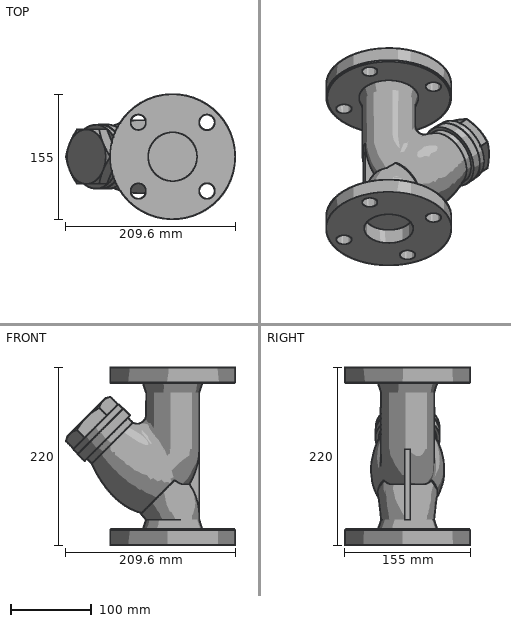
import cadquery as cq
import math

height = 220.0

flange_diameter = 155.0
flange_thickness = 20.0
flange_chamfer = 1.5
bolt_circle_diameter = 120.1
bolt_hole_diameter = 19.0
bolt_count = 4
port_diameter = 60.5
port_depth = flange_thickness

pipe_radius = 33.0
neck_radius = 36.7
neck_length = 11.5

branch_angle = 45.0
upper_elbow_z = 118.8
upper_elbow_radius = 51.7
lower_elbow_z = 37.0
lower_elbow_radius = 35.2

chamber_max_radius = 45.5
chamber_max_position = 59.5
chamber_shoulder_radius = 40.0
chamber_shoulder_position = 27.5
toe_radius = 37.0
toe_position = 18.7
throat_diameter = 72.0
throat_position = 105.5
saddle_fillet = 11.0
crease_box_low = (-55.0, -35.2, 88.0)
crease_box_high = (0.0, 35.2, 158.5)

collar_diameter = 80.0
collar_start = 114.2
collar_end = 134.5
gasket_position = 126.3
gasket_groove = 0.5
hex_across_flats = 67.3
hex_sides = 6
hex_end = 151.0
hex_chamfer_angle = 30.0

web_thickness = 6.5

angle = math.radians(branch_angle)
elbow_end_x = -lower_elbow_radius * (1 - math.cos(angle))
elbow_end_z = lower_elbow_z + lower_elbow_radius * math.sin(angle)
axis_z = elbow_end_z + elbow_end_x / math.tan(angle)
chamber_start = -elbow_end_x / math.sin(angle)
branch_direction = (-math.sin(angle), 0, math.cos(angle))


def branch_plane(position):
    """Plane across the chamber axis at a distance from the pipe axis."""
    origin = (-position * math.sin(angle), 0, axis_z + position * math.cos(angle))
    return cq.Plane(origin=origin, xDir=(0, 1, 0), normal=branch_direction)


def cylinder_on_branch(start, end, diameter):
    return cq.Workplane(branch_plane(start)).circle(diameter / 2).extrude(end - start)


def flanged_neck():
    """Bottom flange with its conical neck, without holes."""
    flange = cq.Workplane("XY").circle(flange_diameter / 2).extrude(flange_thickness)
    flange = flange.faces(">Z").edges().chamfer(flange_chamfer)
    neck = (
        cq.Workplane("XY", origin=(0, 0, flange_thickness))
        .circle(neck_radius)
        .workplane(offset=neck_length)
        .circle(pipe_radius)
        .loft()
    )
    return flange.union(neck)


def pipe(start_z, end_z):
    return cq.Workplane("XY", origin=(0, 0, start_z)).circle(pipe_radius).extrude(end_z - start_z)


def elbow(start_z, bend_radius, turn):
    """Bend through the branch angle towards -X; turn is +1 going up and -1 going down."""
    return (
        cq.Workplane("XY", origin=(0, 0, start_z))
        .circle(pipe_radius)
        .revolve(branch_angle, (-bend_radius, 0, 0), (-bend_radius, -turn, 0))
    )


def chamber():
    """Bulged body of revolution about the slanted axis."""
    profile_plane = cq.Plane(
        origin=(0, 0, axis_z),
        xDir=(-math.cos(angle), 0, -math.sin(angle)),
        normal=(0, 1, 0),
    )
    return (
        cq.Workplane(profile_plane)
        .moveTo(0, chamber_start)
        .lineTo(pipe_radius, chamber_start)
        .spline(
            [
                (chamber_shoulder_radius, chamber_shoulder_position),
                (chamber_max_radius, chamber_max_position),
                (throat_diameter / 2, throat_position),
            ],
            includeCurrent=True,
        )
        .lineTo(0, throat_position)
        .close()
        .revolve(360, (0, 0, 0), (0, 1, 0))
    )


def chamber_toe():
    """Skin from the top of the bottom neck to the chamber, filling the lower crease."""
    base = cq.Wire.makeCircle(
        pipe_radius, cq.Vector(0, 0, flange_thickness + neck_length), cq.Vector(0, 0, 1)
    )
    toe_plane = branch_plane(toe_position)
    rim = cq.Wire.makeCircle(toe_radius, toe_plane.origin, toe_plane.zDir)
    return cq.Workplane(cq.Solid.makeLoft([base, rim], True))


def cap():
    """Throat, collar stepped at the gasket, and hexagon head with rounded-off corners."""
    throat = cylinder_on_branch(throat_position, collar_start, throat_diameter)
    lower_collar = cylinder_on_branch(collar_start, gasket_position, collar_diameter)
    upper_collar = cylinder_on_branch(gasket_position, collar_end, collar_diameter - 2 * gasket_groove)

    hex_length = hex_end - collar_end
    across_corners = hex_across_flats / math.cos(math.pi / hex_sides)
    head = (
        cq.Workplane(branch_plane(collar_end))
        .transformed(rotate=(0, 0, 90))
        .polygon(hex_sides, across_corners)
        .extrude(hex_length)
    )
    cone_growth = hex_length / math.tan(math.radians(hex_chamfer_angle))
    corner_cone = (
        cq.Workplane(branch_plane(hex_end))
        .circle(hex_across_flats / 2)
        .workplane(offset=-hex_length)
        .circle(hex_across_flats / 2 + cone_growth)
        .loft()
    )
    return throat.union(lower_collar).union(upper_collar).union(head.intersect(corner_cone))


def web():
    web_start = flange_thickness + neck_length
    return cq.Workplane("XY").box(
        pipe_radius, web_thickness, upper_elbow_z - web_start, centered=(False, True, False)
    ).translate((0, 0, web_start))


def bolt_holes():
    return (
        cq.Workplane("XY")
        .polarArray(bolt_circle_diameter / 2, 180 / bolt_count, 360, bolt_count)
        .circle(bolt_hole_diameter / 2)
        .extrude(flange_thickness)
    )


def mirrored_pair(solid):
    """The same feature at the bottom and, upside down, at the top."""
    return solid.union(solid.mirror("XY", (0, 0, height / 2)))


upper_run = pipe(upper_elbow_z, height - flange_thickness - neck_length)
upper_run = upper_run.union(elbow(upper_elbow_z, upper_elbow_radius, -1))
lower_run = pipe(flange_thickness + neck_length, lower_elbow_z)
lower_run = lower_run.union(elbow(lower_elbow_z, lower_elbow_radius, 1))

body = chamber().union(upper_run)
upper_crease = cq.selectors.BoxSelector(crease_box_low, crease_box_high)
body = body.edges("%BSPLINE").edges(upper_crease).fillet(saddle_fillet)
body = body.union(lower_run).union(chamber_toe())
result = body.union(cap()).union(web())
result = result.union(mirrored_pair(flanged_neck()))
result = result.cut(mirrored_pair(bolt_holes()))
port = cq.Workplane("XY").circle(port_diameter / 2).extrude(port_depth)
result = result.cut(mirrored_pair(port))